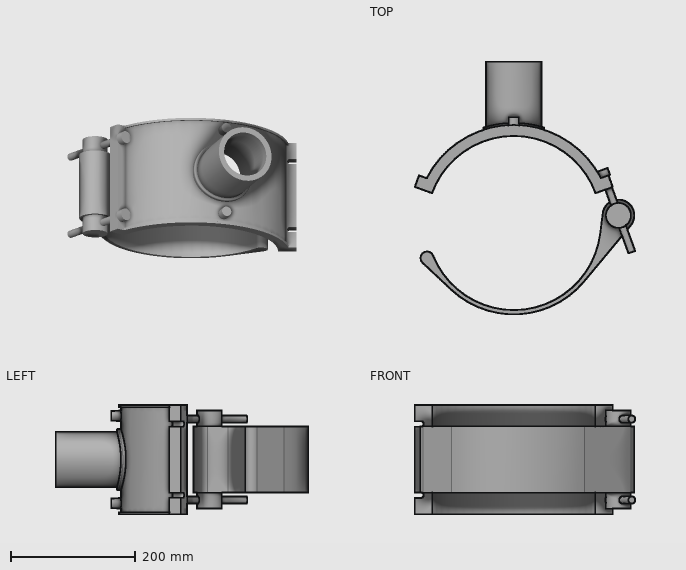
import cadquery as cq
import math

BORE_RADIUS = 140.0
SADDLE_OUTER_RADIUS = 154.5
SADDLE_HEIGHT = 176.0
RIM_OUTER_RADIUS = 157.8
RIM_WIDTH = 3.5
END_ANGLE = 20.0
FOOT_OUTER_RADIUS = 169.5
FOOT_THICKNESS = 20.0
SLOT_WIDTH = 8.5
SLOT_Z = 57.5
SLOT_END_RADIUS = 154.5

PIPE_END_Y = 259.5
PIPE_DIAMETER = 90.0
PIPE_BORE = 72.0
COLLAR_DIAMETER = 99.0
COLLAR_RADIUS = 161.0
COLLAR_ROUNDING = 2.0

STUD_END_Y = 170.5
STUD_TOP_DIAMETER = 16.0
STUD_BASE_DIAMETER = 18.0
STUD_Z = 70.5

STRAP_OUTER_RADIUS = 147.2
STRAP_WIDTH = 106.5
EYE_X = 168.5
EYE_Y = 12.0
EYE_RADIUS = 25.5
TIP_RADIUS = 10.5
TIP_ANGLE = 202.0
TRUNNION_DIAMETER = 40.3
TRUNNION_LENGTH = 158.0

BOLT_DIAMETER = 11.8
BOLT_HEAD_DIAMETER = 19.5
BOLT_HEAD_LENGTH = 11.8
BOLT_TAIL = 63.0
BOLT_Z = 65.0

CUT_MARGIN = 4.0
PLATE_OVERLAP = 4.0
EYE_DISTANCE = math.hypot(EYE_X, EYE_Y)
EYE_ANGLE = math.degrees(math.atan2(EYE_Y, EYE_X))


def polar(radius, angle, center=(0, 0)):
    """Point at a radius and an angle in degrees around a centre."""
    a = math.radians(angle)
    return (center[0] + radius * math.cos(a), center[1] + radius * math.sin(a))


def disc(radius, height):
    """Cylinder on the Z axis, centred on Z = 0."""
    return cq.Workplane("XY").circle(radius).extrude(height / 2, both=True)


def arch(outer_radius, height):
    """Ring sector between the two end faces, centred on Z = 0."""
    middle_angle = 90
    sector = (
        cq.Workplane("XY")
        .moveTo(*polar(BORE_RADIUS, END_ANGLE))
        .lineTo(*polar(outer_radius, END_ANGLE))
        .threePointArc(polar(outer_radius, middle_angle), polar(outer_radius, 180 - END_ANGLE))
        .lineTo(*polar(BORE_RADIUS, 180 - END_ANGLE))
        .threePointArc(polar(BORE_RADIUS, middle_angle), polar(BORE_RADIUS, END_ANGLE))
        .close()
    )
    return sector.extrude(height / 2, both=True)


def right_foot():
    """Bar along the right end face; its inner side is trimmed by the bore."""
    length = FOOT_OUTER_RADIUS - BORE_RADIUS
    bar = cq.Workplane("XY").box(length, FOOT_THICKNESS, SADDLE_HEIGHT, centered=(False, False, True))
    bar = bar.translate((BORE_RADIUS, 0, 0)).rotate((0, 0, 0), (0, 0, 1), END_ANGLE)
    return bar.cut(disc(BORE_RADIUS, SADDLE_HEIGHT))


def left_slots():
    """Open slots with a round inner end, through the left foot."""
    center_radius = SLOT_END_RADIUS + SLOT_WIDTH / 2
    length = FOOT_OUTER_RADIUS - center_radius + CUT_MARGIN
    slots = cq.Workplane("XY")
    for z in (-SLOT_Z, SLOT_Z):
        straight = cq.Workplane("XY").box(length, FOOT_THICKNESS, SLOT_WIDTH, centered=(False, False, True))
        straight = straight.translate((center_radius, 0, z))
        round_end = y_cylinder(SLOT_WIDTH, 0, FOOT_THICKNESS).translate((center_radius, 0, z))
        slots = slots.add(straight.union(round_end))
    return slots.combine().rotate((0, 0, 0), (0, 0, 1), END_ANGLE).mirror("YZ")


def y_cylinder(diameter, start, end):
    """Cylinder on the Y axis, from Y = start to Y = end."""
    return cq.Workplane("XZ", origin=(0, start, 0)).circle(diameter / 2).extrude(start - end)


def make_collar():
    """Round collar whose top follows the curve of the saddle."""
    collar = y_cylinder(COLLAR_DIAMETER, 0, PIPE_END_Y).intersect(disc(COLLAR_RADIUS, SADDLE_HEIGHT))
    collar = collar.faces(">Y").edges().fillet(COLLAR_ROUNDING)
    return collar.cut(disc(SADDLE_OUTER_RADIUS - PLATE_OVERLAP, SADDLE_HEIGHT))


def make_stud(z):
    """Stud tapering towards its free end."""
    start = SADDLE_OUTER_RADIUS - PLATE_OVERLAP
    return (
        cq.Workplane("XZ", origin=(0, start, z))
        .circle(STUD_BASE_DIAMETER / 2)
        .workplane(offset=start - STUD_END_Y)
        .circle(STUD_TOP_DIAMETER / 2)
        .loft()
    )


def make_bolt(z):
    """Headed bolt through the trunnion axis, square to the right end face."""
    turn = math.radians(EYE_ANGLE - END_ANGLE)
    eye_to_face = -EYE_DISTANCE * math.sin(turn)
    radial = EYE_DISTANCE * math.cos(turn)
    shank_length = BOLT_TAIL + eye_to_face + FOOT_THICKNESS
    seat = cq.Workplane("XZ", origin=(radial, FOOT_THICKNESS, z))
    shank = seat.circle(BOLT_DIAMETER / 2).extrude(shank_length)
    head = seat.circle(BOLT_HEAD_DIAMETER / 2).extrude(-BOLT_HEAD_LENGTH)
    bolt = shank.union(head)
    return bolt.rotate((0, 0, 0), (0, 0, 1), END_ANGLE)


def make_saddle(bolts):
    """Arched plate with rims, feet, branch pipe and studs, holed and recessed for the bolts."""
    saddle = arch(SADDLE_OUTER_RADIUS, SADDLE_HEIGHT)
    for side in (-1, 1):
        rim_z = side * (SADDLE_HEIGHT - RIM_WIDTH) / 2
        saddle = saddle.union(arch(RIM_OUTER_RADIUS, RIM_WIDTH).translate((0, 0, rim_z)))
    saddle = saddle.union(right_foot()).union(right_foot().mirror("YZ"))
    saddle = saddle.cut(left_slots())
    saddle = saddle.union(make_collar())
    pipe = y_cylinder(PIPE_DIAMETER, 0, PIPE_END_Y)
    pipe = pipe.cut(disc(SADDLE_OUTER_RADIUS - PLATE_OVERLAP, SADDLE_HEIGHT))
    saddle = saddle.union(pipe)
    for z in (-STUD_Z, STUD_Z):
        saddle = saddle.union(make_stud(z))
    saddle = saddle.cut(y_cylinder(PIPE_BORE, 0, PIPE_END_Y))
    for bolt in bolts:
        saddle = saddle.cut(bolt)
    return saddle


def make_strap(bolts):
    """Curved strap and its trunnion, cross-drilled for the bolts."""
    eye = (EYE_X, EYE_Y)
    tip = polar(BORE_RADIUS + TIP_RADIUS, TIP_ANGLE)
    tip_distance = BORE_RADIUS + TIP_RADIUS

    inner_angle = EYE_ANGLE - math.degrees(math.acos((BORE_RADIUS + EYE_RADIUS) / EYE_DISTANCE))
    outer_angle = EYE_ANGLE - math.degrees(math.acos((STRAP_OUTER_RADIUS - EYE_RADIUS) / EYE_DISTANCE))
    tip_side_angle = TIP_ANGLE + math.degrees(math.acos((STRAP_OUTER_RADIUS - TIP_RADIUS) / tip_distance))
    bottom_angle = 270
    eye_middle_angle = (inner_angle + 180 + outer_angle) / 2

    strap = (
        cq.Workplane("XY")
        .moveTo(*polar(BORE_RADIUS, inner_angle))
        .lineTo(*polar(EYE_RADIUS, inner_angle + 180, eye))
        .threePointArc(polar(EYE_RADIUS, eye_middle_angle, eye), polar(EYE_RADIUS, outer_angle, eye))
        .lineTo(*polar(STRAP_OUTER_RADIUS, outer_angle))
        .threePointArc(polar(STRAP_OUTER_RADIUS, bottom_angle), polar(STRAP_OUTER_RADIUS, tip_side_angle))
        .lineTo(*polar(TIP_RADIUS, tip_side_angle, tip))
        .threePointArc(polar(TIP_RADIUS, TIP_ANGLE - 90, tip), polar(TIP_RADIUS, TIP_ANGLE + 180, tip))
        .threePointArc(polar(BORE_RADIUS, bottom_angle), polar(BORE_RADIUS, inner_angle))
        .close()
        .extrude(STRAP_WIDTH / 2, both=True)
    )
    trunnion = disc(TRUNNION_DIAMETER / 2, TRUNNION_LENGTH).translate((EYE_X, EYE_Y, 0))
    strap = strap.union(trunnion)
    for bolt in bolts:
        strap = strap.cut(bolt)
    return strap


bolts = [make_bolt(z) for z in (-BOLT_Z, BOLT_Z)]
saddle = make_saddle(bolts)
strap = make_strap(bolts)

result = cq.Compound.makeCompound([saddle.val(), strap.val(), *[bolt.val() for bolt in bolts]])